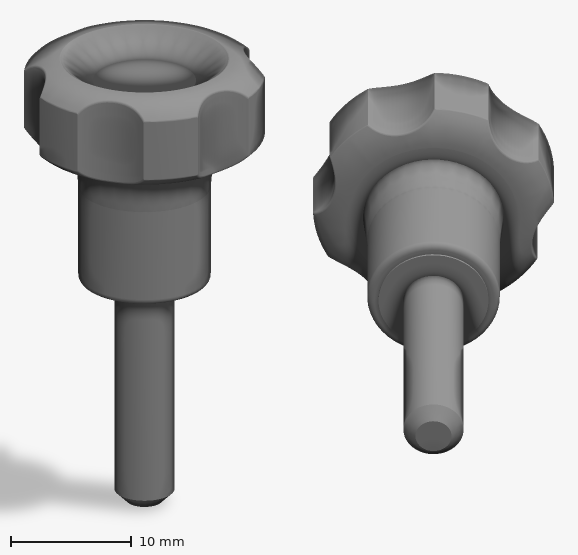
import cadquery as cq
import math

total_height = 40.0
head_height = 8.0
collar_bottom = 20.0
head_bottom = total_height - head_height

head_radius = 10.0
head_face_radius = 7.0
crown_radius = 4.0
flute_count = 6
flute_radius = 4.5
flute_floor = 8.55
outline_round = 0.2

dish_rim_radius = 7.0
dish_floor_radius = 4.3
dish_depth = 2.0
dish_rim_round = 0.15

collar_diameter = 11.0
collar_edge_round = 0.5
seat_radius = 4.55
seat_height = 0.15
neck_top_radius = 5.85
neck_height = 3.5

pin_diameter = 5.0
pin_chamfer = 1.0


def crown_drop(radius):
    """Drop of the rounded crown below the flat face at a given radius."""
    run = radius - head_face_radius
    return crown_radius - math.sqrt(crown_radius**2 - run**2)


def make_head():
    """Disc with domed shoulders above and below, cut by flutes round the rim."""
    middle_radius = (head_face_radius + head_radius) / 2
    edge_drop = crown_drop(head_radius)
    middle_drop = crown_drop(middle_radius)
    disc = (
        cq.Workplane("XZ")
        .moveTo(0, head_bottom)
        .lineTo(head_face_radius, head_bottom)
        .threePointArc((middle_radius, head_bottom + middle_drop), (head_radius, head_bottom + edge_drop))
        .lineTo(head_radius, total_height - edge_drop)
        .threePointArc((middle_radius, total_height - middle_drop), (head_face_radius, total_height))
        .lineTo(0, total_height)
        .close()
        .revolve(360, (0, 0, 0), (0, 1, 0))
        .rotate((0, 0, 0), (0, 0, 1), 180 / flute_count)
    )
    flutes = (
        cq.Workplane("XY")
        .workplane(offset=head_bottom)
        .polarArray(flute_floor + flute_radius, 0, 360, flute_count)
        .circle(flute_radius)
        .extrude(head_height)
    )
    return round_head_outline(disc.cut(flutes))


def round_head_outline(head):
    """Soften the edges where both crowns meet the lobes and the flutes."""
    outline = []
    for edge in head.edges().vals():
        nearest = min(math.hypot(edge.positionAt(t).x, edge.positionAt(t).y) for t in (0, 0.5, 1))
        is_upright = edge.geomType() == "LINE"
        if nearest > flute_floor - outline_round and not is_upright:
            outline.append(edge)
    return head.newObject(outline).fillet(outline_round)


def cut_dish(head):
    """Sink a tapered, flat-bottomed dish into the top and round its rim."""
    dish_floor = total_height - dish_depth
    dish = (
        cq.Workplane("XZ")
        .moveTo(0, dish_floor)
        .lineTo(dish_floor_radius, dish_floor)
        .lineTo(dish_rim_radius, total_height)
        .lineTo(0, total_height)
        .close()
        .revolve(360, (0, 0, 0), (0, 1, 0))
    )
    return head.cut(dish).faces(">Z").edges().fillet(dish_rim_round)


def make_collar():
    """Cylinder with a rounded lower edge, a thin raised seat below and a neck flaring out to the head."""
    collar_radius = collar_diameter / 2
    collar = (
        cq.Workplane("XY")
        .workplane(offset=collar_bottom)
        .circle(collar_radius)
        .extrude(head_bottom - collar_bottom)
        .faces("<Z").edges().fillet(collar_edge_round)
    )
    neck = (
        cq.Workplane("XY")
        .workplane(offset=head_bottom - neck_height)
        .circle(collar_radius)
        .workplane(offset=neck_height)
        .circle(neck_top_radius)
        .loft()
    )
    seat = (
        cq.Workplane("XY")
        .workplane(offset=collar_bottom - seat_height)
        .circle(seat_radius)
        .extrude(seat_height)
    )
    return collar.union(neck).union(seat)


def make_pin():
    """Straight pin with a chamfered tip."""
    pin = cq.Workplane("XY").circle(pin_diameter / 2).extrude(collar_bottom)
    return pin.faces("<Z").edges().chamfer(pin_chamfer)


result = cut_dish(make_head()).union(make_collar()).union(make_pin())